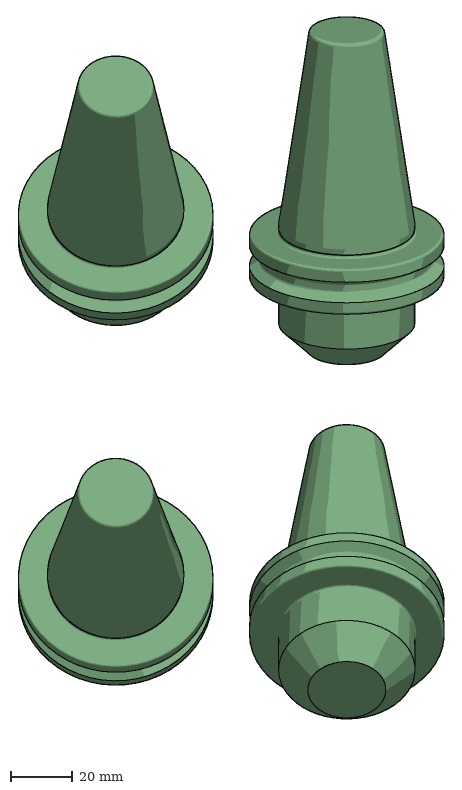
import cadquery as cq
import math

gauge_radius = 44.45 / 2
taper_length = 68.25
taper_ratio = 7 / 24
tip_round = 1.2

flange_top = -3.175
collar_bottom = -1.8
neck_radius = 21.95
neck_round = 0.8

flange_radius = 63.5 / 2
flange_bottom = -19.05
flange_round = 0.8
groove_floor_radius = 56.35 / 2
groove_half_width = 3.62
groove_wall_angle = math.radians(30)
groove_floor_round = 0.8

nose_bottom = -44.45
nose_cone_top = -35
nose_end_radius = 25.4 / 2
nose_round = 0.8

tip_radius = gauge_radius - taper_length * taper_ratio / 2
neck_top = collar_bottom - (gauge_radius - neck_radius)
groove_middle = (flange_top + flange_bottom) / 2
groove_depth = flange_radius - groove_floor_radius
groove_floor_half_width = groove_half_width - groove_depth * math.tan(groove_wall_angle)


def revolve_profile(points):
    return cq.Workplane("XZ").polyline(points).close().revolve(360, (0, 0, 0), (0, 1, 0))


def is_circle_at(edge, radius, height):
    tolerance = 1e-4
    if edge.geomType() != "CIRCLE":
        return False
    return abs(edge.radius() - radius) < tolerance and abs(edge.Center().z - height) < tolerance


def round_circle(body, radius, height, round_radius):
    """Fillet the circular edge about Z that has this radius and height."""
    edge = body.edges().filter(lambda item: is_circle_at(item, radius, height))
    return edge.fillet(round_radius)


def make_body():
    return revolve_profile([
        (0, taper_length),
        (tip_radius, taper_length),
        (gauge_radius, 0),
        (gauge_radius, collar_bottom),
        (neck_radius, neck_top),
        (neck_radius, flange_top),
        (flange_radius, flange_top),
        (flange_radius, groove_middle + groove_half_width),
        (groove_floor_radius, groove_middle + groove_floor_half_width),
        (groove_floor_radius, groove_middle - groove_floor_half_width),
        (flange_radius, groove_middle - groove_half_width),
        (flange_radius, flange_bottom),
        (gauge_radius, flange_bottom),
        (gauge_radius, nose_cone_top),
        (nose_end_radius, nose_bottom),
        (0, nose_bottom),
    ])


def round_tip(body):
    return round_circle(body, tip_radius, taper_length, tip_round)


def round_flange_roots(body):
    body = round_circle(body, neck_radius, flange_top, neck_round)
    return round_circle(body, gauge_radius, flange_bottom, nose_round)


def round_flange_rims(body):
    for height in (flange_top, flange_bottom):
        body = round_circle(body, flange_radius, height, flange_round)
    return body


def round_groove_floor(body):
    for side in (1, -1):
        corner = groove_middle + side * groove_floor_half_width
        body = round_circle(body, groove_floor_radius, corner, groove_floor_round)
    return body


result = make_body()
result = round_tip(result)
result = round_flange_roots(result)
result = round_flange_rims(result)
result = round_groove_floor(result)